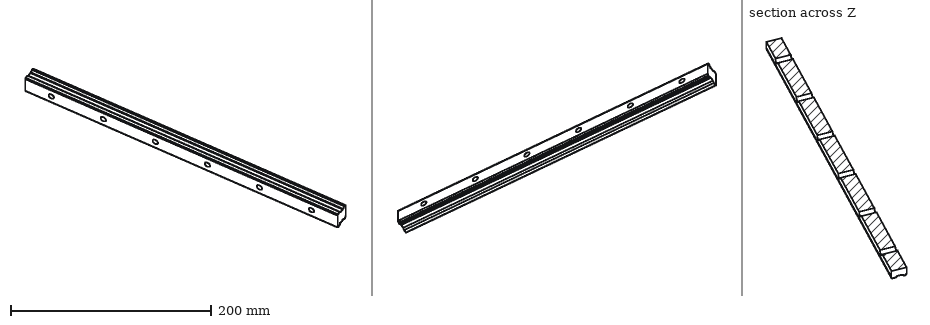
import cadquery as cq
import math

length = 360.0
height = 16.5
width = 20.0

hole_diameter = 6.0
hole_pitch = 60.0
hole_count = 6

half_width = width / 2
waist_half_width = 8.2
lower_groove_inner = 8.5
lower_groove_outer = 9.9
top_half_width = 8.3

bottom_chamfer = 1.0
foot_top = 4.4
waist_bottom = foot_top + half_width - waist_half_width
waist_top = 10.2
lower_groove_bottom = 11.0
lower_groove_top = 13.3
head_bottom = 13.7
head_top = 15.2

lower_groove_depth = 0.45
upper_groove_depth = 0.35


def groove_bottom(start, end, depth):
    """Deepest point of a groove between two (y, z) edges, on the side facing the centre plane."""
    dy = end[0] - start[0]
    dz = end[1] - start[1]
    chord = math.hypot(dy, dz)
    middle_y = (start[0] + end[0]) / 2
    middle_z = (start[1] + end[1]) / 2
    return (middle_y + depth * dz / chord, middle_z - depth * dy / chord)


def half_rail():
    """The +Z half of the rail: chamfered foot, narrow waist and a head with two ball grooves."""
    lower_start = (lower_groove_bottom, lower_groove_inner)
    lower_end = (lower_groove_top, lower_groove_outer)
    upper_start = (head_top, half_width)
    upper_end = (height, top_half_width)
    outline = (
        cq.Workplane("YZ", origin=(-length / 2, 0, 0))
        .lineTo(0, half_width - bottom_chamfer)
        .lineTo(bottom_chamfer, half_width)
        .lineTo(foot_top, half_width)
        .lineTo(waist_bottom, waist_half_width)
        .lineTo(waist_top, waist_half_width)
        .lineTo(*lower_start)
        .threePointArc(groove_bottom(lower_start, lower_end, lower_groove_depth), lower_end)
        .lineTo(head_bottom, half_width)
        .lineTo(*upper_start)
        .threePointArc(groove_bottom(upper_start, upper_end, upper_groove_depth), upper_end)
        .lineTo(height, 0)
        .close()
    )
    return outline.extrude(length)


def mounting_holes():
    """Row of plain cylinders crossing the full height of the rail along Y."""
    first_hole = -(hole_count - 1) * hole_pitch / 2
    centres = [(first_hole + i * hole_pitch, 0) for i in range(hole_count)]
    return cq.Workplane("XZ").pushPoints(centres).circle(hole_diameter / 2).extrude(-height)


upper_half = half_rail()
rail = upper_half.union(upper_half.mirror("XY")).clean()
result = rail.cut(mounting_holes())